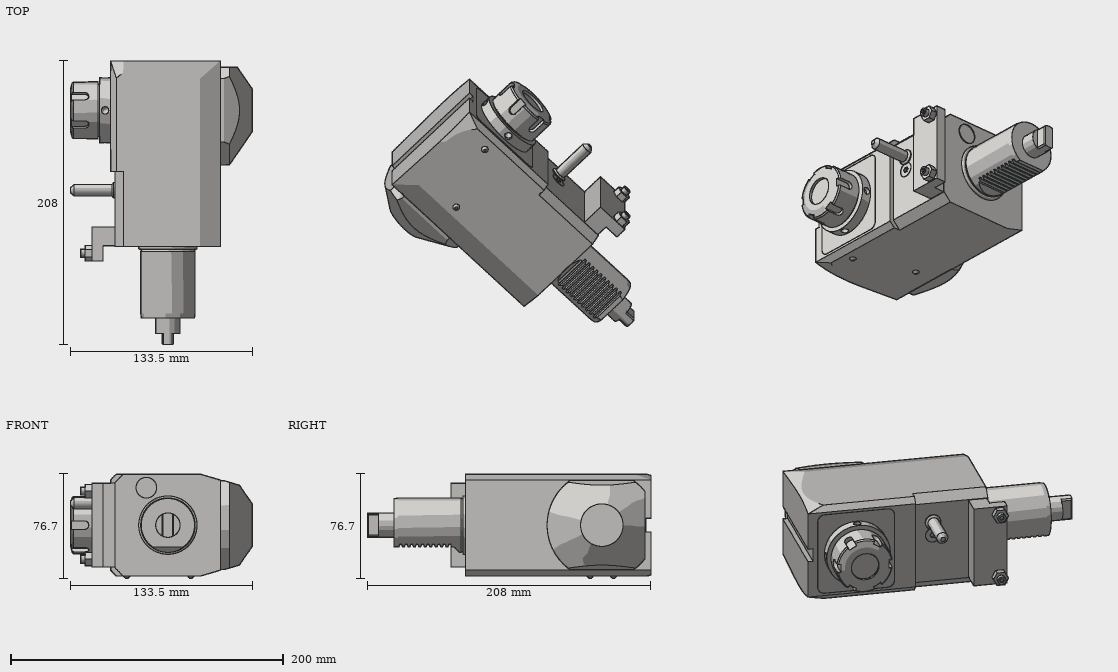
import cadquery as cq
import math


HALF_HEIGHT = 37.5
BACK_Y = 136.2
STEP_Y = 55.1
HEAD_LEFT_X = -42.0
HEAD_CHAMFER = 4.2
FOOT_LEFT_X = -39.0
FOOT_CHAMFER = 6.2
RIGHT_X = 38.7
RIGHT_BEVEL_X = 24.0
RIGHT_BEVEL_DROP = 4.4
CROWN_POINTS = [(-29.1, 35.8), (-13.3, 36.6), (8.3, 35.5)]
CROWN_LENGTH = 16.6
CROWN_SLOPE = 0.25
BACK_SLOT_WIDTH = 10.0
BACK_SLOT_DEPTH = 3.7
PLUG_X = -15.8
PLUG_Z = 27.5
PLUG_DIAMETER = 15.2
PLUG_RECESS = 0.6

SPINDLE_Y = 100.0
PLATE_WIDTH = 57.8
PLATE_HEIGHT = 62.8
PLATE_CORNER = 5.2
PLATE_THICKNESS = 0.2
COLLAR_RADIUS = 24.0
COLLAR_LEFT_X = -50.1
COLLAR_HOLE_COUNT = 4
COLLAR_HOLE_DIAMETER = 5.5
COLLAR_HOLE_DEPTH = 3.1
NUT_RADIUS = 21.0
NUT_LEFT_X = -71.5
NUT_FACE_RADIUS = 15.2
NUT_CONE_RADIUS = 20.2
NUT_CONE_LENGTH = 1.2
NUT_BEVEL_LENGTH = 1.2
NECK_RADIUS = 19.1
NECK_WIDTH = 1.0
BORE_RADIUS = 10.5
BORE_DEPTH = 2.0
NUT_SLOT_COUNT = 6
NUT_SLOT_WIDTH = 6.2
NUT_SLOT_LENGTH = 13.5
NUT_SLOT_FLOOR_RADIUS = 18.0

COVER_RADIUS = 40.1
COVER_RIM_X = 45.1
COVER_FACE_X = 62.0
COVER_FACE_RADIUS = 15.5
COVER_BACK_Y = 131.7
COVER_HALF_HEIGHT = 32.7
COVER_BEVEL_X = 41.4
COVER_BEVEL_SLOPE = 0.3

RING_RADIUS = 21.5
RING_WIDTH = 1.9
RING_ROUND = 0.8
SHANK_RADIUS = 20.0
NECK_END_Y = -3.3
SHANK_NECK_RADIUS = 19.3
SHANK_RIM_Y = -49.3
SHANK_END_Y = -52.5
SHANK_END_RADIUS = 19.5
FLAT_Z = -16.0
FLAT_START_Y = -8.3
TOOTH_DEPTH = 1.9
GROOVE_COUNT = 10
FIRST_GROOVE_Y = -11.5
LAST_GROOVE_Y = -47.5
TOOTH_PITCH = (FIRST_GROOVE_Y - LAST_GROOVE_Y) / (GROOVE_COUNT - 1)
GROOVE_MOUTH = 2.7
GROOVE_FLOOR = 1.2
DRIVE_RADIUS = 9.0
TANG_ROOT_Y = -63.6
TANG_END_Y = -71.8
TANG_THICKNESS = 8.5
TANG_BEVEL = 1.7
TANG_END_BEVEL = 0.8

BRACKET_HALF_HEIGHT = 30.8
BRACKET_LEFT_X = -55.7
BRACKET_THICKNESS = 8.3
BRACKET_TOP_Y = 14.5
BRACKET_STEP_Y = 0.6
BRACKET_BOTTOM_Y = -10.6
NUT_ACROSS_FLATS = 10.0
HEX_NUT_HEIGHT = 5.0
STUD_END_X = -64.0
STUD_DIAMETER = 6.0
STUD_SOCKET = 3.0
STUD_SOCKET_DEPTH = 1.7
STUD_Y = -4.8
STUD_Z = 25.0

PIN_Y = 41.4
PIN_Z = 16.0
PIN_RADIUS = 8.5 / 2
PIN_END_X = -71.5
PIN_TIP_LENGTH = 2.7
PIN_TIP_RADIUS = 1.7
PIN_SEAT_RADIUS = 5.8
PIN_SEAT_RIM = 0.8
PIN_SEAT_LENGTH = 2.0
SCREW_Z = 5.6
SCREW_RADIUS = 5.6
SCREW_HEAD_RISE = 0.2
SCREW_SOCKET = 3.7
SCREW_SOCKET_DEPTH = 2.0

NIPPLE_HEIGHT = 1.7
NIPPLE_RADIUS = 2.5
NIPPLE_TIP_RADIUS = 0.8
NIPPLE_PLACES = [(-30.2, 108.5), (16.8, 91.5)]

OVERLAP = 1.0
CLEARANCE = 10.5


def box(x0, x1, y0, y1, z0, z1):
    return cq.Workplane("XY").box(x1 - x0, y1 - y0, z1 - z0, centered=False).translate((x0, y0, z0))


def cylinder_x(x0, x1, y, z, radius):
    return cq.Workplane("YZ", origin=(x0, y, z)).circle(radius).extrude(x1 - x0)


def hex_x(x0, x1, y, z, across_flats):
    """Hexagonal prism along X with two corners on the Y direction."""
    corner_diameter = across_flats / math.cos(math.pi / 6)
    return cq.Workplane("YZ", origin=(x0, y, z)).polygon(6, corner_diameter).extrude(x1 - x0)


def revolve_x(profile, y, z):
    """Turn a list of (x, radius) points about the X-parallel axis through (y, z)."""
    turned = cq.Workplane("XY").polyline(profile).close().revolve(360, (0, 0, 0), (1, 0, 0))
    return turned.translate((0, y, z))


def housing_block(left_x, chamfer, y0, y1):
    """Prism along Y with both left corners chamfered and the right side bevelled."""
    upper = [
        (left_x, HALF_HEIGHT - chamfer),
        (left_x + chamfer, HALF_HEIGHT),
        (RIGHT_BEVEL_X, HALF_HEIGHT),
        (RIGHT_X, HALF_HEIGHT - RIGHT_BEVEL_DROP),
    ]
    lower = [(x, -z) for x, z in reversed(upper)]
    profile = cq.Workplane("XZ", origin=(0, y1, 0)).polyline(upper + lower).close()
    return profile.extrude(y1 - y0)


def crown_cutter():
    """Removes the curved slope that lowers the top of the housing towards its back."""
    left_z = HALF_HEIGHT - HEAD_CHAMFER
    right_z = HALF_HEIGHT - RIGHT_BEVEL_DROP
    ceiling_z = HALF_HEIGHT + CLEARANCE

    def section(y):
        rise = CROWN_SLOPE * (BACK_Y - y)
        outline = (
            cq.Workplane("XZ", origin=(0, y, rise))
            .moveTo(HEAD_LEFT_X, left_z)
            .spline(CROWN_POINTS + [(RIGHT_X, right_z)], includeCurrent=True)
            .lineTo(RIGHT_X, ceiling_z)
            .lineTo(HEAD_LEFT_X, ceiling_z)
            .close()
        )
        return outline.wires().val()

    sections = [section(BACK_Y), section(BACK_Y - CROWN_LENGTH)]
    return cq.Workplane(cq.Solid.makeLoft(sections, True))


def housing():
    head = housing_block(HEAD_LEFT_X, HEAD_CHAMFER, STEP_Y, BACK_Y)
    foot = housing_block(FOOT_LEFT_X, FOOT_CHAMFER, 0, STEP_Y)
    top_crown = crown_cutter()
    body = head.union(foot).cut(top_crown).cut(top_crown.mirror("XY"))

    half_slot = BACK_SLOT_WIDTH / 2
    body = body.cut(box(HEAD_LEFT_X, RIGHT_X, BACK_Y - BACK_SLOT_DEPTH, BACK_Y, -half_slot, half_slot))

    plug = cq.Workplane("XZ", origin=(PLUG_X, PLUG_RECESS, PLUG_Z)).circle(PLUG_DIAMETER / 2)
    return body.cut(plug.extrude(PLUG_RECESS))


def spindle_plate():
    plate = box(
        HEAD_LEFT_X - PLATE_THICKNESS, HEAD_LEFT_X + OVERLAP,
        SPINDLE_Y - PLATE_WIDTH / 2, SPINDLE_Y + PLATE_WIDTH / 2,
        -PLATE_HEIGHT / 2, PLATE_HEIGHT / 2,
    )
    return plate.edges("|X").fillet(PLATE_CORNER)


def collet_nut():
    cone_x = NUT_LEFT_X + NUT_CONE_LENGTH
    bevel_x = cone_x + NUT_BEVEL_LENGTH
    neck_x = COLLAR_LEFT_X - NECK_WIDTH
    root_x = HEAD_LEFT_X + OVERLAP
    floor_x = NUT_LEFT_X + BORE_DEPTH
    nut = revolve_x(
        [
            (floor_x, 0),
            (floor_x, BORE_RADIUS),
            (NUT_LEFT_X, BORE_RADIUS),
            (NUT_LEFT_X, NUT_FACE_RADIUS),
            (cone_x, NUT_CONE_RADIUS),
            (bevel_x, NUT_RADIUS),
            (neck_x, NUT_RADIUS),
            (neck_x, NECK_RADIUS),
            (COLLAR_LEFT_X, NECK_RADIUS),
            (COLLAR_LEFT_X, COLLAR_RADIUS),
            (root_x, COLLAR_RADIUS),
            (root_x, 0),
        ],
        SPINDLE_Y, 0,
    )
    axis_start = (0, SPINDLE_Y, 0)
    axis_end = (1, SPINDLE_Y, 0)

    slot_end_x = NUT_LEFT_X + NUT_SLOT_LENGTH
    half_width = NUT_SLOT_WIDTH / 2
    slot = (
        cq.Workplane("XZ", origin=(0, SPINDLE_Y - NUT_SLOT_FLOOR_RADIUS, 0))
        .moveTo(NUT_LEFT_X, -half_width)
        .lineTo(slot_end_x - half_width, -half_width)
        .threePointArc((slot_end_x, 0), (slot_end_x - half_width, half_width))
        .lineTo(NUT_LEFT_X, half_width)
        .close()
        .extrude(CLEARANCE)
    )
    for i in range(NUT_SLOT_COUNT):
        nut = nut.cut(slot.rotate(axis_start, axis_end, i * 360 / NUT_SLOT_COUNT))

    hole_x = (COLLAR_LEFT_X + HEAD_LEFT_X) / 2
    hole_radius = COLLAR_HOLE_DIAMETER / 2
    hole_z = COLLAR_RADIUS - COLLAR_HOLE_DEPTH
    hole = (
        cq.Workplane("XZ", origin=(hole_x, SPINDLE_Y, hole_z))
        .polyline([(0, -hole_radius), (hole_radius, 0), (hole_radius, CLEARANCE), (0, CLEARANCE)])
        .close()
        .revolve(360, (0, 0, 0), (0, 1, 0))
    )
    for i in range(COLLAR_HOLE_COUNT):
        nut = nut.cut(hole.rotate(axis_start, axis_end, i * 360 / COLLAR_HOLE_COUNT))
    return nut


def cover():
    """Conical cap trimmed by a flat at the back and by bevels above and below."""
    inner_x = RIGHT_X - OVERLAP
    cap = revolve_x(
        [
            (inner_x, 0),
            (inner_x, COVER_RADIUS),
            (COVER_RIM_X, COVER_RADIUS),
            (COVER_FACE_X, COVER_FACE_RADIUS),
            (COVER_FACE_X, 0),
        ],
        SPINDLE_Y, 0,
    )
    face_half_height = COVER_HALF_HEIGHT - COVER_BEVEL_SLOPE * (COVER_FACE_X - COVER_BEVEL_X)
    upper = [
        (inner_x, COVER_HALF_HEIGHT),
        (COVER_BEVEL_X, COVER_HALF_HEIGHT),
        (COVER_FACE_X, face_half_height),
    ]
    lower = [(x, -z) for x, z in reversed(upper)]
    envelope = cq.Workplane("XZ", origin=(0, COVER_BACK_Y, 0)).polyline(upper + lower).close()
    return cap.intersect(envelope.extrude(COVER_BACK_Y))


def shank():
    ring = cq.Workplane("XZ").circle(RING_RADIUS).extrude(RING_WIDTH).faces("<Y").edges().fillet(RING_ROUND)
    barrel = (
        cq.Workplane("XY")
        .polyline(
            [
                (0, OVERLAP),
                (SHANK_NECK_RADIUS, OVERLAP),
                (SHANK_NECK_RADIUS, -RING_WIDTH),
                (SHANK_RADIUS, NECK_END_Y),
                (SHANK_RADIUS, SHANK_RIM_Y),
                (SHANK_END_RADIUS, SHANK_END_Y),
                (0, SHANK_END_Y),
            ]
        )
        .close()
        .revolve(360, (0, 0, 0), (0, 1, 0))
    )
    return toothed(barrel).union(ring)


def toothed(barrel):
    """Cut the clamping flat under the shank, then the rack of grooves across it."""
    depth = SHANK_RADIUS + FLAT_Z
    flat = (
        cq.Workplane("YZ")
        .polyline(
            [
                (FLAT_START_Y, FLAT_Z),
                (FLAT_START_Y + depth, FLAT_Z - depth),
                (SHANK_END_Y, FLAT_Z - depth),
                (SHANK_END_Y, FLAT_Z),
            ]
        )
        .close()
        .extrude(SHANK_RADIUS, both=True)
    )
    barrel = barrel.cut(flat)
    groove = (
        cq.Workplane("YZ")
        .polyline(
            [
                (-GROOVE_MOUTH / 2, FLAT_Z),
                (-GROOVE_FLOOR / 2, FLAT_Z + TOOTH_DEPTH),
                (GROOVE_FLOOR / 2, FLAT_Z + TOOTH_DEPTH),
                (GROOVE_MOUTH / 2, FLAT_Z),
            ]
        )
        .close()
        .extrude(SHANK_RADIUS, both=True)
    )
    for i in range(GROOVE_COUNT):
        barrel = barrel.cut(groove.translate((0, FIRST_GROOVE_Y - i * TOOTH_PITCH, 0)))
    return barrel


def drive_tang():
    start_y = SHANK_END_Y + OVERLAP
    half = TANG_THICKNESS / 2
    bar = cq.Workplane("XZ", origin=(0, start_y, 0)).circle(DRIVE_RADIUS).extrude(start_y - TANG_END_Y)
    blade = box(-half, half, TANG_END_Y, TANG_ROOT_Y, -DRIVE_RADIUS, DRIVE_RADIUS)
    blade = blade.edges("|Y").chamfer(TANG_BEVEL)
    blade = blade.faces("<Y").edges("|Z").chamfer(TANG_END_BEVEL)
    root = box(-DRIVE_RADIUS, DRIVE_RADIUS, TANG_ROOT_Y, start_y, -DRIVE_RADIUS, DRIVE_RADIUS)
    return bar.intersect(root.union(blade))


def bracket():
    wall_x = BRACKET_LEFT_X + BRACKET_THICKNESS
    half_height = BRACKET_HALF_HEIGHT
    arm = box(BRACKET_LEFT_X, FOOT_LEFT_X, BRACKET_STEP_Y, BRACKET_TOP_Y, -half_height, half_height)
    wall = box(BRACKET_LEFT_X, wall_x, BRACKET_BOTTOM_Y, BRACKET_STEP_Y, -half_height, half_height)
    clamp = arm.union(wall)
    for z in (-STUD_Z, STUD_Z):
        hex_nut = hex_x(BRACKET_LEFT_X - HEX_NUT_HEIGHT, BRACKET_LEFT_X, STUD_Y, z, NUT_ACROSS_FLATS)
        stud = cylinder_x(STUD_END_X, BRACKET_LEFT_X, STUD_Y, z, STUD_DIAMETER / 2)
        socket = hex_x(STUD_END_X, STUD_END_X + STUD_SOCKET_DEPTH, STUD_Y, z, STUD_SOCKET)
        clamp = clamp.union(hex_nut).union(stud.cut(socket))
    return clamp


def locating_pin():
    rim_x = FOOT_LEFT_X - PIN_SEAT_RIM
    seat_x = FOOT_LEFT_X - PIN_SEAT_LENGTH
    return revolve_x(
        [
            (PIN_END_X, 0),
            (PIN_END_X, PIN_TIP_RADIUS),
            (PIN_END_X + PIN_TIP_LENGTH, PIN_RADIUS),
            (seat_x, PIN_RADIUS),
            (rim_x, PIN_SEAT_RADIUS),
            (FOOT_LEFT_X + OVERLAP, PIN_SEAT_RADIUS),
            (FOOT_LEFT_X + OVERLAP, 0),
        ],
        PIN_Y, PIN_Z,
    )


def nipple(x, y):
    """Small pointed stud on the underside."""
    base = cq.Vector(x, y, -HALF_HEIGHT)
    cone = cq.Solid.makeCone(NIPPLE_RADIUS, NIPPLE_TIP_RADIUS, NIPPLE_HEIGHT, base, cq.Vector(0, 0, -1))
    return cq.Workplane(cone)


def screw_head():
    """Low screw head just proud of the foot of the housing."""
    return cylinder_x(FOOT_LEFT_X - SCREW_HEAD_RISE, FOOT_LEFT_X, PIN_Y, SCREW_Z, SCREW_RADIUS)


def screw_socket():
    face_x = FOOT_LEFT_X - SCREW_HEAD_RISE
    return hex_x(face_x, face_x + SCREW_SOCKET_DEPTH, PIN_Y, SCREW_Z, SCREW_SOCKET)


result = housing()
result = result.union(screw_head()).cut(screw_socket())
result = result.union(spindle_plate()).union(collet_nut()).union(cover())
result = result.union(shank()).union(drive_tang())
result = result.union(bracket()).union(locating_pin())
for nipple_x, nipple_y in NIPPLE_PLACES:
    result = result.union(nipple(nipple_x, nipple_y))